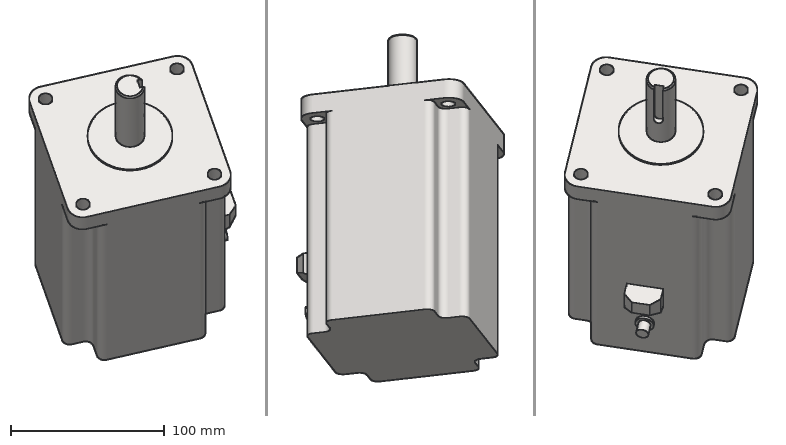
import cadquery as cq
import math

width = 110.0
half_width = width / 2
housing_top = 160.2
notch_size = 18.3
notch_radius = 5.2

flange_thickness = 13.1
flange_corner_radius = 10.1
hole_spacing = 89.0
hole_diameter = 9.0

pilot_diameter = 55.4
pilot_height = 1.3
shaft_diameter = 19.0
shaft_top = 215.4
shaft_chamfer = 1.0
key_width = 6.0
key_depth = 3.7
key_length = 34.5

connector_width = 24.1
connector_reach = 14.9
connector_chamfer = 6.0
connector_top = 67.6
connector_tip_bottom = 56.9
connector_root_bottom = 49.3

gland_height = 30.5
gland_diameter = 8.2
gland_reach = 10.0
collar_diameter = 12.3
collar_thickness = 2.0


def corner_notch():
    """Cutter for the +X +Y corner, with a rounded root and rounded lips."""
    inner = half_width - notch_size
    lip = inner - notch_radius
    root = inner + notch_radius
    shoulder = half_width - notch_radius
    arc_offset = notch_radius * math.sqrt(0.5)
    return (
        cq.Workplane("XY")
        .moveTo(lip, half_width)
        .threePointArc((lip + arc_offset, shoulder + arc_offset), (inner, shoulder))
        .lineTo(inner, root)
        .threePointArc((root - arc_offset, root - arc_offset), (root, inner))
        .lineTo(shoulder, inner)
        .threePointArc((shoulder + arc_offset, lip + arc_offset), (half_width, lip))
        .lineTo(half_width, half_width)
        .close()
        .extrude(housing_top - flange_thickness)
    )


def housing():
    body = cq.Workplane("XY").rect(width, width).extrude(housing_top - flange_thickness)
    for quarter in range(4):
        body = body.cut(corner_notch().rotate((0, 0, 0), (0, 0, 1), 90 * quarter))
    return body


def flange():
    return (
        cq.Workplane("XY", origin=(0, 0, housing_top - flange_thickness))
        .rect(width, width)
        .extrude(flange_thickness)
        .edges("|Z")
        .fillet(flange_corner_radius)
        .faces(">Z")
        .workplane()
        .rect(hole_spacing, hole_spacing, forConstruction=True)
        .vertices()
        .hole(hole_diameter)
    )


def pilot():
    return (
        cq.Workplane("XY", origin=(0, 0, housing_top))
        .circle(pilot_diameter / 2)
        .extrude(pilot_height)
    )


def shaft():
    """Shaft with a keyway on its +Y side, open at the top and round at the bottom."""
    radius = shaft_diameter / 2
    blank = (
        cq.Workplane("XY", origin=(0, 0, housing_top))
        .circle(radius)
        .extrude(shaft_top - housing_top)
        .faces(">Z")
        .chamfer(shaft_chamfer)
    )
    key_radius = key_width / 2
    key_bottom = shaft_top - key_length
    keyway = (
        cq.Workplane("XZ", origin=(0, radius, 0))
        .moveTo(-key_radius, shaft_top)
        .lineTo(-key_radius, key_bottom + key_radius)
        .threePointArc((0, key_bottom), (key_radius, key_bottom + key_radius))
        .lineTo(key_radius, shaft_top)
        .close()
        .extrude(key_depth)
    )
    return blank.cut(keyway)


def connector():
    """Block with a sloping underside and chamfered outer vertical edges."""
    tip = half_width + connector_reach
    return (
        cq.Workplane("YZ")
        .polyline([
            (half_width, connector_root_bottom),
            (tip, connector_tip_bottom),
            (tip, connector_top),
            (half_width, connector_top),
        ])
        .close()
        .extrude(connector_width / 2, both=True)
        .edges("|Z and >Y")
        .chamfer(connector_chamfer)
    )


def gland():
    base = cq.Workplane("XZ", origin=(0, half_width, gland_height))
    collar = base.circle(collar_diameter / 2).extrude(-collar_thickness)
    return collar.union(base.circle(gland_diameter / 2).extrude(-gland_reach))


result = housing()
for feature in (flange(), pilot(), shaft(), connector(), gland()):
    result = result.union(feature)